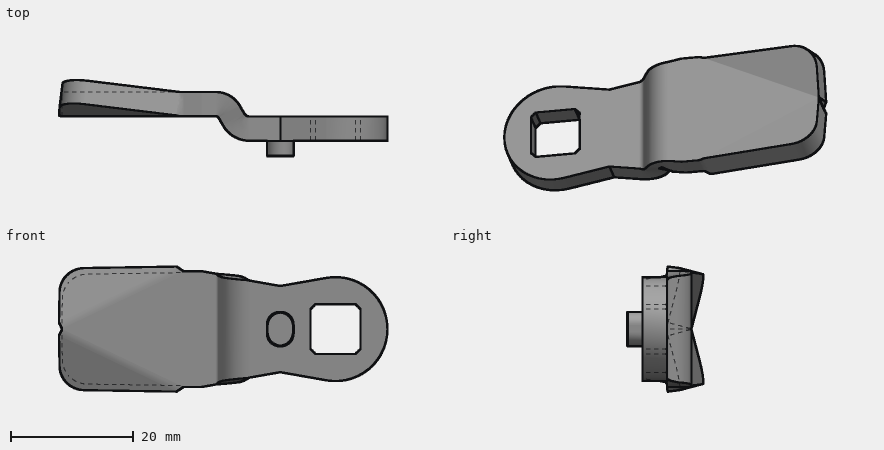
import cadquery as cq
import math

thickness = 4.0
jog = 4.0

head_radius = 8.5
waist_x = -9.0
taper_angle = 10.0
hole_size = 8.1
hole_corner_chamfer = 0.8

pin_width = 4.4
pin_length = 5.65
pin_height = 2.5
pin_chamfer = 0.15

blade_bend_radius = 0.5
hub_bend_radius = 1.0
jog_angle = 60.0
jog_end_x = -14.0
neutral_fraction = 0.4

blade_half_width = 9.45
blade_tip_x = -45.09
fold_line_angle = 25.5
fold_radius = 0.2
fold_angle = 16.3
wing_half_span = 10.215
wing_corner_radius = 4.0

taper = math.tan(math.radians(taper_angle))
blade_front_y = jog
blade_back_y = jog + thickness

tangent_x = -head_radius * math.sin(math.radians(taper_angle))
tangent_z = head_radius * math.cos(math.radians(taper_angle))
waist_half_width = tangent_z - taper * (tangent_x - waist_x)
jog_sin = math.sin(math.radians(jog_angle))
jog_cos = math.cos(math.radians(jog_angle))
bend_reach = blade_bend_radius + hub_bend_radius + thickness
web_length = (jog - bend_reach * (1 - jog_cos)) / jog_sin
jog_start_x = jog_end_x - bend_reach * jog_sin - web_length * jog_cos
neutral_depth = neutral_fraction * thickness
blade_bend_length = math.radians(jog_angle) * (blade_bend_radius + neutral_depth)
hub_bend_length = math.radians(jog_angle) * (hub_bend_radius + neutral_depth)

hub_half_width = waist_half_width + taper * (waist_x - jog_end_x)
web_front_half_width = hub_half_width + taper * hub_bend_length
web_back_half_width = web_front_half_width + taper * web_length
jog_half_width = web_back_half_width + taper * blade_bend_length
taper_start_x = jog_start_x - (blade_half_width - jog_half_width) / taper

fold_sin = math.sin(math.radians(fold_line_angle))
fold_cos = math.cos(math.radians(fold_line_angle))
fold_direction = cq.Vector(fold_cos, 0, -fold_sin)

fold_band = (fold_radius + thickness) * math.sin(math.radians(fold_angle))
apex_x = blade_tip_x + fold_band * fold_sin
wing_edge_z = wing_half_span - fold_band * fold_cos
fold_length = blade_half_width / fold_sin
wing_root_length = wing_edge_z / fold_sin


def mirrored(half):
    """Join a half with its mirror image in the XY plane."""
    return half.union(half.mirror("XY"))


def flat_plate(outline, front_y):
    """Extrude an XZ outline one sheet thickness towards +Y."""
    return outline.extrude(-thickness).translate((0, front_y, 0))


def bend(plane, inner_radius, angle, start_length, end_length):
    """Bent strip of sheet around the plane's normal.

    It starts on the plane's x axis and turns counter-clockwise. Its length along
    the axis falls evenly with the turn, which leaves a helical edge.
    """
    outer_radius = inner_radius + thickness
    strip = (
        cq.Workplane("XY")
        .moveTo(inner_radius, 0)
        .lineTo(outer_radius, 0)
        .lineTo(outer_radius, start_length)
        .lineTo(inner_radius, start_length)
        .close()
        .revolve(angle, (0, 0), (0, 1))
        .rotate((0, 0, 0), (1, 0, 0), 90)
    )
    helical_trim = (
        cq.Workplane("XY", origin=(0, 0, end_length))
        .transformed(rotate=(0, 0, angle))
        .rect(4 * outer_radius, 2 * outer_radius, centered=(True, False))
        .twistExtrude(start_length - end_length, -angle)
    )
    return cq.Workplane(strip.cut(helical_trim).val().moved(plane.location))


def make_hub():
    outline = (
        cq.Workplane("XZ")
        .moveTo(jog_end_x, -hub_half_width)
        .lineTo(waist_x, -waist_half_width)
        .lineTo(tangent_x, -tangent_z)
        .threePointArc((head_radius, 0), (tangent_x, tangent_z))
        .lineTo(waist_x, waist_half_width)
        .lineTo(jog_end_x, hub_half_width)
        .close()
    )
    hole = (
        cq.Workplane("XZ")
        .rect(hole_size, hole_size)
        .extrude(-thickness)
        .edges("|Y")
        .chamfer(hole_corner_chamfer)
    )
    return flat_plate(outline, 0).cut(hole)


def make_pin():
    return (
        cq.Workplane("XZ", origin=(waist_x, 0, 0))
        .slot2D(pin_length, pin_width, 90)
        .extrude(pin_height)
        .faces("<Y")
        .chamfer(pin_chamfer)
    )


def make_jog():
    blade_bend_plane = cq.Plane(
        origin=(jog_start_x, blade_front_y - blade_bend_radius, 0),
        xDir=(0, 1, 0),
        normal=(0, 0, -1),
    )
    blade_bend = bend(
        blade_bend_plane, blade_bend_radius, jog_angle, jog_half_width, web_back_half_width
    )
    hub_bend_plane = cq.Plane(
        origin=(jog_end_x, thickness + hub_bend_radius, 0),
        xDir=(-jog_sin, -jog_cos, 0),
        normal=(0, 0, 1),
    )
    hub_bend = bend(
        hub_bend_plane, hub_bend_radius, jog_angle, web_front_half_width, hub_half_width
    )

    web_plane = cq.Plane(
        origin=(
            jog_start_x + blade_bend_radius * jog_sin,
            blade_front_y - blade_bend_radius * (1 - jog_cos),
            0,
        ),
        xDir=(jog_cos, -jog_sin, 0),
        normal=(jog_sin, jog_cos, 0),
    )
    web = (
        cq.Workplane(web_plane)
        .moveTo(0, -web_back_half_width)
        .lineTo(web_length, -web_front_half_width)
        .lineTo(web_length, web_front_half_width)
        .lineTo(0, web_back_half_width)
        .close()
        .extrude(thickness)
    )
    return web.union(mirrored(blade_bend)).union(mirrored(hub_bend))


def make_blade():
    shoulder_x = apex_x + fold_length * fold_cos
    outline = (
        cq.Workplane("XZ")
        .moveTo(apex_x, 0)
        .lineTo(shoulder_x, -blade_half_width)
        .lineTo(taper_start_x, -blade_half_width)
        .lineTo(jog_start_x, -jog_half_width)
        .lineTo(jog_start_x, jog_half_width)
        .lineTo(taper_start_x, blade_half_width)
        .lineTo(shoulder_x, blade_half_width)
        .close()
    )
    return flat_plate(outline, blade_front_y)


def make_wing():
    """Lower wing with its fold."""
    fold_axis_start = cq.Vector(apex_x, blade_back_y + fold_radius, 0)
    fold_plane = cq.Plane(origin=fold_axis_start, xDir=(0, -1, 0), normal=fold_direction)
    fold = bend(fold_plane, fold_radius, fold_angle, fold_length, wing_root_length)

    outline = (
        cq.Workplane("XZ")
        .moveTo(apex_x, 0)
        .lineTo(apex_x + wing_root_length * fold_cos, -wing_edge_z)
        .lineTo(apex_x + wing_corner_radius, -wing_edge_z)
        .radiusArc((apex_x, -wing_edge_z + wing_corner_radius), wing_corner_radius)
        .close()
    )
    fold_axis_end = fold_axis_start + fold_direction
    wing = flat_plate(outline, blade_front_y).rotate(
        fold_axis_start.toTuple(), fold_axis_end.toTuple(), fold_angle
    )
    return wing.union(fold)


result = make_hub().union(make_pin()).union(make_jog()).union(make_blade()).union(mirrored(make_wing()))